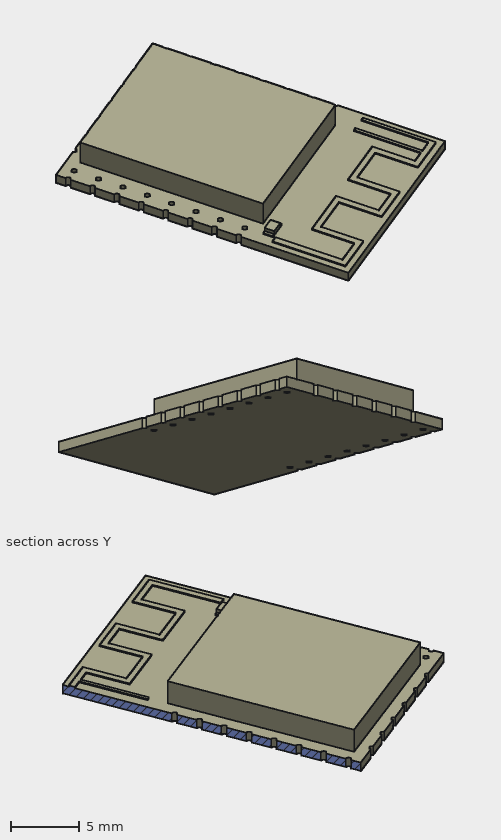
import cadquery as cq

BOARD_LENGTH = 24.0
BOARD_WIDTH = 16.0
BOARD_THICKNESS = 0.8
LEFT_EDGE = -BOARD_LENGTH / 2
RIGHT_EDGE = BOARD_LENGTH / 2
BACK_EDGE = BOARD_WIDTH / 2

SHIELD_LENGTH = 15.0
SHIELD_WIDTH = 12.0
SHIELD_HEIGHT = 2.0
SHIELD_LEFT_MARGIN = 1.0

CONTACT_PITCH = 2.0
CONTACT_WIDTH = 1.0
LONG_CONTACT_DEPTH = 1.5
SHORT_CONTACT_DEPTH = 0.3
LONG_CONTACT_COUNT = 8
SHORT_CONTACT_COUNT = 6
FIRST_LONG_CONTACT_INSET = 1.0
HOLE_DIAMETER = 0.4
VIA_INSET = 1.0

TRACK_HEIGHT = 0.1
TRACK_WIDTH = 0.5
FEED_WIDTH = 0.25
EDGE_GAP = 0.5
MEANDER_SPAN = 4.0
FEED_LENGTH = 6.0
SECOND_FEED_INSET = 1.75
OUTER_X = RIGHT_EDGE - EDGE_GAP
INNER_X = OUTER_X - MEANDER_SPAN
FEED_START_X = OUTER_X - FEED_LENGTH
TRACK_BACK_Y = BACK_EDGE - EDGE_GAP
SECOND_FEED_Y = BACK_EDGE - SECOND_FEED_INSET
RUN_INSETS = (3.0, 6.5, 9.0, 12.5, 15.0)
RUN_BACK_Y = [BACK_EDGE - inset for inset in RUN_INSETS]

CHIP_WIDTH = 0.8
CHIP_LENGTH = 1.0
CHIP_HEIGHT = 0.3
CHIP_BASE_LENGTH = 1.5
CHIP_BASE_HEIGHT = 0.1
CHIP_LEFT_INSET = 16.9
CHIP_BACK_INSET = 14.25
CHIP_X = LEFT_EDGE + CHIP_LEFT_INSET
CHIP_Y = BACK_EDGE - CHIP_BACK_INSET


def centred_block(x, y, z_min, length_x, length_y, height):
    """Box centred on a point in X and Y."""
    return cq.Workplane("XY").box(
        length_x, length_y, height, centered=(True, True, False)
    ).translate((x, y, z_min))


def long_contact_centres():
    """X positions of the contacts along the two long edges."""
    first_x = LEFT_EDGE + FIRST_LONG_CONTACT_INSET
    return [first_x + i * CONTACT_PITCH for i in range(LONG_CONTACT_COUNT)]


def short_contact_centres():
    """Y positions of the contacts along the left edge."""
    middle = (SHORT_CONTACT_COUNT - 1) / 2
    return [(i - middle) * CONTACT_PITCH for i in range(SHORT_CONTACT_COUNT)]


def hole_points():
    """Centres of the edge notches and of the vias behind them."""
    points = [(LEFT_EDGE, y) for y in short_contact_centres()]
    for x in long_contact_centres():
        for side in (-1, 1):
            points.append((x, side * BACK_EDGE))
            points.append((x, side * (BACK_EDGE - VIA_INSET)))
    return points


def make_contacts():
    """All contact blocks, before drilling."""
    contacts = []
    long_centre_y = BACK_EDGE - LONG_CONTACT_DEPTH / 2
    for x in long_contact_centres():
        for side in (-1, 1):
            contacts.append(centred_block(
                x, side * long_centre_y, 0, CONTACT_WIDTH, LONG_CONTACT_DEPTH, BOARD_THICKNESS))
    short_centre_x = LEFT_EDGE + SHORT_CONTACT_DEPTH / 2
    for y in short_contact_centres():
        contacts.append(centred_block(
            short_centre_x, y, 0, SHORT_CONTACT_DEPTH, CONTACT_WIDTH, BOARD_THICKNESS))
    return contacts


def make_board():
    """Board with flush contacts whose outlines are kept as face boundaries."""
    board = centred_block(0, 0, 0, BOARD_LENGTH, BOARD_WIDTH, BOARD_THICKNESS)
    board = board.val().fuse(*[contact.val() for contact in make_contacts()])
    drill = cq.Workplane("XY").circle(HOLE_DIAMETER / 2).extrude(BOARD_THICKNESS)
    drill = drill.rotate((0, 0, 0), (0, 0, 1), 180).val()
    holes = cq.Workplane("XY").pushPoints(hole_points()).eachpoint(drill, combine=True)
    return cq.Workplane("XY").newObject([board]).cut(holes, clean=False)


def make_shield():
    """Rectangular can standing on the board."""
    x = LEFT_EDGE + SHIELD_LEFT_MARGIN + SHIELD_LENGTH / 2
    return centred_block(x, 0, BOARD_THICKNESS, SHIELD_LENGTH, SHIELD_WIDTH, SHIELD_HEIGHT)


def make_antenna():
    """Meandering track fed by two narrow arms at the back."""
    first, second, third, fourth, last = RUN_BACK_Y
    right_inside = OUTER_X - TRACK_WIDTH
    left_inside = INNER_X + TRACK_WIDTH
    outline = [
        (FEED_START_X, TRACK_BACK_Y),
        (OUTER_X, TRACK_BACK_Y),
        (OUTER_X, first - TRACK_WIDTH),
        (left_inside, first - TRACK_WIDTH),
        (left_inside, second),
        (OUTER_X, second),
        (OUTER_X, third - TRACK_WIDTH),
        (left_inside, third - TRACK_WIDTH),
        (left_inside, fourth),
        (OUTER_X, fourth),
        (OUTER_X, last - TRACK_WIDTH),
        (FEED_START_X, last - TRACK_WIDTH),
        (FEED_START_X, last),
        (right_inside, last),
        (right_inside, fourth - TRACK_WIDTH),
        (INNER_X, fourth - TRACK_WIDTH),
        (INNER_X, third),
        (right_inside, third),
        (right_inside, second - TRACK_WIDTH),
        (INNER_X, second - TRACK_WIDTH),
        (INNER_X, first),
        (right_inside, first),
        (right_inside, SECOND_FEED_Y - FEED_WIDTH),
        (FEED_START_X, SECOND_FEED_Y - FEED_WIDTH),
        (FEED_START_X, SECOND_FEED_Y),
        (right_inside, SECOND_FEED_Y),
        (right_inside, TRACK_BACK_Y - FEED_WIDTH),
        (FEED_START_X, TRACK_BACK_Y - FEED_WIDTH),
    ]
    return (
        cq.Workplane("XY").workplane(offset=BOARD_THICKNESS).polyline(outline).close().extrude(TRACK_HEIGHT)
    )


def make_chip():
    """Chip body with its base showing at both ends."""
    base = centred_block(CHIP_X, CHIP_Y, BOARD_THICKNESS, CHIP_WIDTH, CHIP_BASE_LENGTH, CHIP_BASE_HEIGHT)
    body = centred_block(CHIP_X, CHIP_Y, BOARD_THICKNESS + CHIP_BASE_HEIGHT,
                         CHIP_WIDTH, CHIP_LENGTH, CHIP_HEIGHT)
    return base.union(body, clean=False)


result = make_board()
for feature in (make_shield(), make_antenna(), make_chip()):
    result = result.union(feature, clean=False)